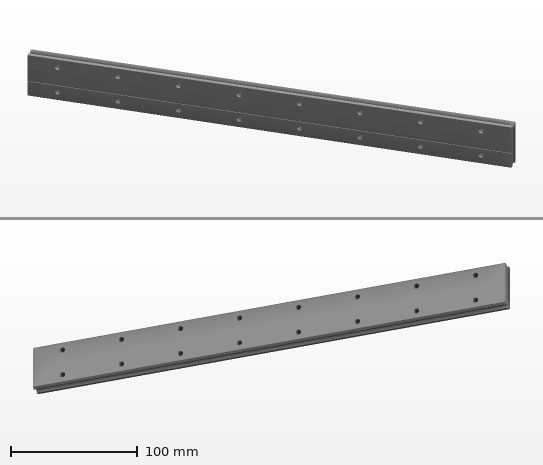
import cadquery as cq

length = 400.0
thickness = 11.0
height = 37.0

channel_width = 11.0
channel_depth = 0.6

lip_thickness = 3.0
lip_chamfer = 0.5
groove_depth = 2.5
groove_slope_run = 1.0
groove_floor_width = 2.5
bead_chamfer_depth = 1.4
bead_chamfer_run = 1.5
bead_base_width = 4.0

hole_diameter = 4.5
hole_pitch = 50.0
hole_columns = 8
hole_rows = 2
hole_row_spacing = 22.0

front = -thickness / 2
rear = thickness / 2
half_height = height / 2
half_channel = channel_width / 2


def upper_half_outline():
    """Points (y, z) of the cross-section above mid-height, from front to rear."""
    floor_z = half_height - groove_depth
    lip_rear = front + lip_thickness
    floor_front = lip_rear + groove_slope_run
    floor_rear = floor_front + groove_floor_width
    bead_shoulder = half_height - bead_chamfer_depth
    bead_front = rear - bead_base_width
    return [
        (front + channel_depth, half_channel),
        (front, half_channel),
        (front, half_height - lip_chamfer),
        (front + lip_chamfer, half_height),
        (lip_rear, half_height),
        (floor_front, floor_z),
        (floor_rear, floor_z),
        (bead_front, bead_shoulder),
        (bead_front + bead_chamfer_run, half_height),
        (rear - bead_chamfer_run, half_height),
        (rear, bead_shoulder),
    ]


def rail_body():
    """Cross-section, symmetric about mid-height, extruded along X."""
    upper = upper_half_outline()
    lower = [(y, -z) for y, z in reversed(upper)]
    section = cq.Workplane("YZ", origin=(-length / 2, 0, 0)).polyline(upper + lower).close()
    return section.extrude(length)


def mounting_holes():
    """Two rows of through-hole cylinders running along Y."""
    return (
        cq.Workplane("XZ")
        .rarray(hole_pitch, hole_row_spacing, hole_columns, hole_rows)
        .circle(hole_diameter / 2)
        .extrude(thickness, both=True)
    )


result = rail_body().cut(mounting_holes())